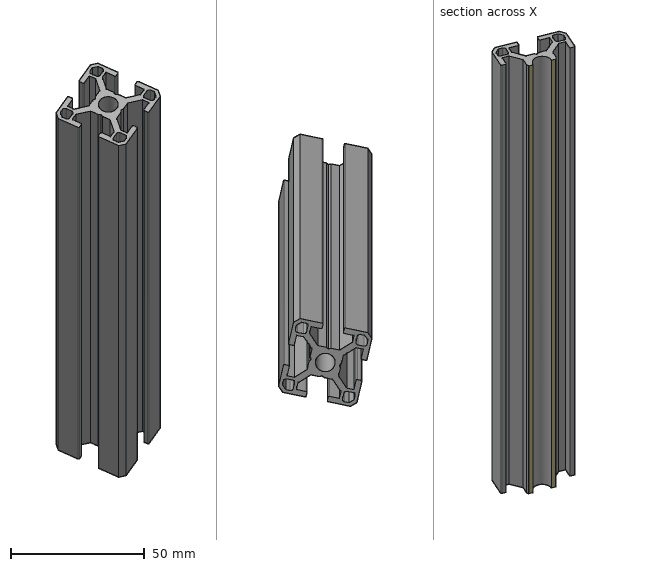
import cadquery as cq

length = 203.2
width = 30.0
half_width = width / 2
corner_chamfer = 2.0

slot_opening = 8.1
lip_thickness = 2.2
lip_edge_radius = 0.5
pocket_width = 16.5
core_width = 12.0
web_offset = 1.8

groove_half_width = 0.91
groove_depth = 0.5

centre_hole_diameter = 7.3
corner_hole_size = 4.3
corner_hole_offset = 11.5
corner_hole_radius = 1.0
corner_hole_chamfer = 1.6


def make_bar():
    """Square bar with flat outer corners and the round centre hole."""
    bar = cq.Workplane("XY").rect(width, width).extrude(length).edges("|Z").chamfer(corner_chamfer)
    centre_hole = cq.Workplane("XY").circle(centre_hole_diameter / 2).extrude(length)
    return bar.cut(centre_hole)


def make_slot_cutter():
    """T-slot void on the +Y side, with a V-groove in its floor."""
    floor = core_width / 2
    pocket_side = pocket_width / 2
    opening_side = slot_opening / 2
    lip_inner = half_width - lip_thickness
    right_side = [
        (groove_half_width, floor),
        (floor - web_offset, floor),
        (pocket_side, pocket_side + web_offset),
        (pocket_side, lip_inner),
        (opening_side, lip_inner),
        (opening_side, half_width),
    ]
    left_side = [(-x, y) for x, y in reversed(right_side)]
    groove_bottom = (0, floor - groove_depth)
    outline = [groove_bottom] + right_side + left_side
    return cq.Workplane("XY").polyline(outline).close().extrude(length)


def make_corner_hole_cutter():
    """Square hole in the +X +Y corner: chamfered on its outer corner, rounded on the others."""
    hole = (
        cq.Workplane("XY")
        .center(corner_hole_offset, corner_hole_offset)
        .rect(corner_hole_size, corner_hole_size)
        .extrude(length)
    )
    hole = hole.edges(">(1, 1, 0)").chamfer(corner_hole_chamfer)
    rounded_edges = hole.edges("|Z").edges("<(1, 1, 0) or <(1, -1, 0) or >(1, -1, 0)")
    return rounded_edges.fillet(corner_hole_radius)


def round_lip_edges(bar):
    """Round the inner and outer edge of every lip tip."""
    tip_reach = slot_opening / 2
    tolerance = 0.02

    def is_lip_edge(edge):
        centre = edge.Center()
        across, outward = sorted((abs(centre.x), abs(centre.y)))
        beside_opening = abs(across - tip_reach) < tolerance
        on_lip = outward > half_width - lip_thickness - tolerance
        return beside_opening and on_lip

    lip_edges = [edge for edge in bar.edges("|Z").vals() if is_lip_edge(edge)]
    return bar.newObject(lip_edges).fillet(lip_edge_radius)


slot_cutter = make_slot_cutter()
corner_hole_cutter = make_corner_hole_cutter()
axis_start = (0, 0, 0)
axis_end = (0, 0, 1)
result = make_bar()
for angle in (0, 90, 180, 270):
    result = result.cut(slot_cutter.rotate(axis_start, axis_end, angle))
    result = result.cut(corner_hole_cutter.rotate(axis_start, axis_end, angle))
result = round_lip_edges(result)